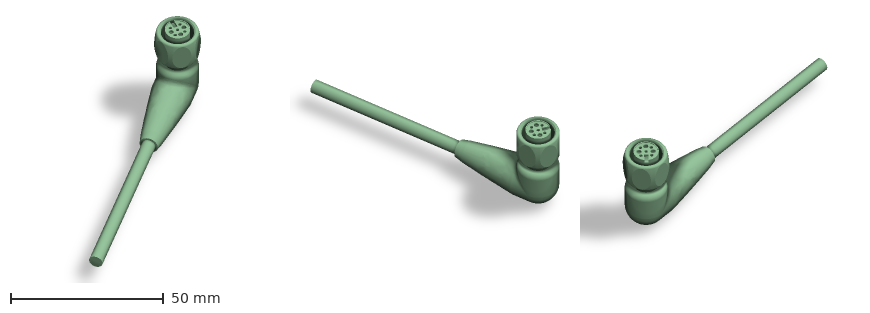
import cadquery as cq
import math

TOTAL_LENGTH = 92.7
TOTAL_HEIGHT = 32.2

NUT_FLATS = 14.0
NUT_BULGE_RADIUS = 7.7
NUT_END_RADIUS = 6.9
NUT_BOTTOM = 13.4
NUT_TOP = 24.3
NUT_EDGE_FILLET = 0.65
NUT_BORE = 10.9
NUT_BORE_DEPTH = 7.4
NUT_MOUTH = 11.9

NECK_DIAMETER = 8.7
INSERT_DIAMETER = 8.3
INSERT_BORE = 7.8
INSERT_TOP = TOTAL_HEIGHT - NUT_FLATS / 2
INSERT_RECESS = 0.3
CONTACT_DIAMETER = 1.1
CONTACT_DEPTH = 3.7
CONTACT_PITCH_RADIUS = 2.5
POCKET_DIAMETER = 1.7
POCKET_RADIUS = 2.3
POCKET_DEPTH = 0.9
KEY_WIDTH = 1.4
KEY_INNER_RADIUS = 1.3
KEY_DEPTH = 0.9
KEY_ANGLE = 135

BODY_RADIUS = NUT_FLATS / 2
BODY_TOP = 10.0
SHOULDER_FILLET = 1.9
SLEEVE_START = 6.4
SLEEVE_MIDDLE = 17.1
SLEEVE_MIDDLE_RADIUS = 5.5
COLLAR_START = 26.8
COLLAR_START_RADIUS = 3.9
SLEEVE_END = 29.9
SLEEVE_END_RADIUS = 3.15
CROTCH_FILLET = 1.3
CABLE_DIAMETER = 4.6


def cylinder(diameter, bottom, top):
    return cq.Workplane("XY").workplane(offset=bottom).circle(diameter / 2).extrude(top - bottom)


def elbow():
    """Upright housing with a spherical heel, blended into the tapering sleeve."""
    upright = cylinder(2 * BODY_RADIUS, 0, BODY_TOP).faces(">Z").edges().fillet(SHOULDER_FILLET)
    heel = cq.Workplane("XY").sphere(BODY_RADIUS)
    sleeve = (
        cq.Workplane("XY")
        .lineTo(BODY_RADIUS, 0)
        .lineTo(BODY_RADIUS, -SLEEVE_START)
        .threePointArc(
            (SLEEVE_MIDDLE_RADIUS, -SLEEVE_MIDDLE),
            (COLLAR_START_RADIUS, -COLLAR_START),
        )
        .lineTo(SLEEVE_END_RADIUS, -SLEEVE_END)
        .lineTo(0, -SLEEVE_END)
        .close()
        .revolve(360, (0, 0, 0), (0, 1, 0))
    )
    body = upright.union(heel).union(sleeve)
    crotch = cq.selectors.BoxSelector(
        (-BODY_RADIUS, -BODY_RADIUS, BODY_RADIUS / 4),
        (BODY_RADIUS, -BODY_RADIUS / 4, BODY_TOP - SHOULDER_FILLET),
    )
    return body.edges(crotch).fillet(CROTCH_FILLET)


def cable():
    length = TOTAL_LENGTH - NUT_BULGE_RADIUS
    return cq.Workplane("XZ").circle(CABLE_DIAMETER / 2).extrude(length)


def nut():
    """Hexagonal nut with barrel-shaped corners, flats square to X and an open top."""
    height = NUT_TOP - NUT_BOTTOM
    barrel = (
        cq.Workplane("XZ")
        .moveTo(0, NUT_BOTTOM)
        .lineTo(NUT_END_RADIUS, NUT_BOTTOM)
        .threePointArc((NUT_BULGE_RADIUS, NUT_BOTTOM + height / 2), (NUT_END_RADIUS, NUT_TOP))
        .lineTo(0, NUT_TOP)
        .close()
        .revolve(360, (0, 0, 0), (0, 1, 0))
        .faces("<Z or >Z")
        .edges()
        .fillet(NUT_EDGE_FILLET)
    )
    hexagon = (
        cq.Workplane("XY")
        .workplane(offset=NUT_BOTTOM)
        .transformed(rotate=(0, 0, 30))
        .polygon(6, NUT_FLATS / math.cos(math.pi / 6))
        .extrude(height)
    )
    bore = cylinder(NUT_BORE, NUT_TOP - NUT_BORE_DEPTH, NUT_TOP)
    mouth_chamfer = (NUT_MOUTH - NUT_BORE) / 2
    lead_in = cq.Workplane(
        cq.Solid.makeCone(
            NUT_BORE / 2,
            NUT_MOUTH / 2,
            mouth_chamfer,
            cq.Vector(0, 0, NUT_TOP - mouth_chamfer),
        )
    )
    return barrel.intersect(hexagon).cut(bore).cut(lead_in)


def seal():
    """O-ring filling the gap between insert and nut at the bottom of the bore."""
    section = (NUT_BORE - INSERT_DIAMETER) / 4
    return cq.Workplane(
        cq.Solid.makeTorus(
            INSERT_DIAMETER / 2 + section,
            section,
            cq.Vector(0, 0, NUT_TOP - NUT_BORE_DEPTH),
        )
    )


def insert():
    """Contact carrier with five sockets, shallow pockets between them and a key slot."""
    face = INSERT_TOP - INSERT_RECESS
    carrier = cylinder(INSERT_DIAMETER, NUT_BOTTOM, INSERT_TOP)
    carrier = carrier.cut(cylinder(INSERT_BORE, face, INSERT_TOP))
    sockets = (
        cq.Workplane("XY")
        .workplane(offset=face - CONTACT_DEPTH)
        .polarArray(CONTACT_PITCH_RADIUS, 0, 360, 4)
        .circle(CONTACT_DIAMETER / 2)
        .extrude(CONTACT_DEPTH)
    )
    centre_socket = cylinder(CONTACT_DIAMETER, face - CONTACT_DEPTH, face)
    pockets = (
        cq.Workplane("XY")
        .workplane(offset=face - POCKET_DEPTH)
        .polarArray(POCKET_RADIUS, KEY_ANGLE + 90, 180, 3)
        .circle(POCKET_DIAMETER / 2)
        .extrude(POCKET_DEPTH)
    )
    key_length = INSERT_DIAMETER / 2 - KEY_INNER_RADIUS
    key_slot = (
        cq.Workplane("XY")
        .box(key_length, KEY_WIDTH, KEY_DEPTH + INSERT_RECESS, centered=(False, True, False))
        .translate((KEY_INNER_RADIUS, 0, face - KEY_DEPTH))
        .rotate((0, 0, 0), (0, 0, 1), KEY_ANGLE)
    )
    return carrier.cut(sockets).cut(centre_socket).cut(pockets).cut(key_slot)


neck = cylinder(NECK_DIAMETER, 0, NUT_BOTTOM)
result = elbow().union(cable()).union(neck).union(nut()).union(insert()).union(seal())